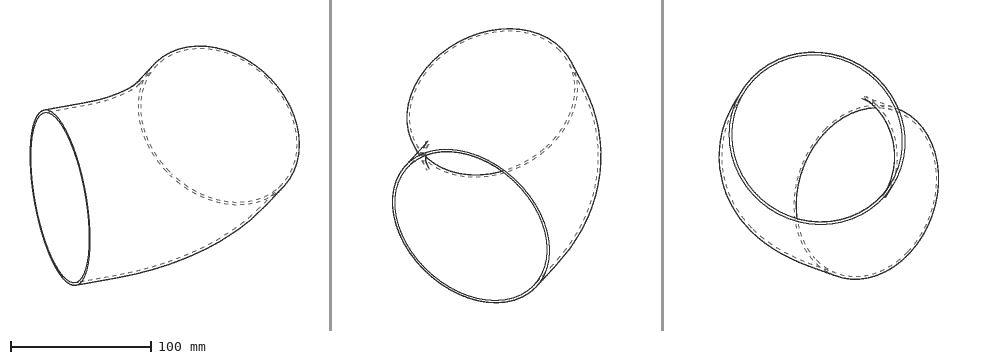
import cadquery as cq

outer_diameter = 127.0
inner_diameter = 123.0
bend_radius = 127.0
bend_angle = 45.0
straight_length = 30.0


def pipe_section(plane):
    """Ring-shaped pipe cross-section centred on the given plane."""
    return cq.Workplane(plane).circle(outer_diameter / 2).circle(inner_diameter / 2)


def straight_collar(plane):
    """Straight pipe running from the plane along its normal."""
    return pipe_section(plane).extrude(straight_length)


def pipe_bend(plane):
    """Pipe bend that leaves the plane along +Y and curves towards -X."""
    axis_start = (-bend_radius, 0)
    axis_end = (-bend_radius, 1)
    return pipe_section(plane).revolve(bend_angle, axis_start, axis_end)


bend_start = cq.Plane(origin=(0, straight_length, 0), xDir=(1, 0, 0), normal=(0, -1, 0))
bend_axis_point = (-bend_radius, straight_length, 0)
bend_axis_top = (-bend_radius, straight_length, 1)

inlet_collar = straight_collar(bend_start)
bend = pipe_bend(bend_start)

outlet_start = cq.Plane(origin=(0, straight_length, 0), xDir=(1, 0, 0), normal=(0, 1, 0))
outlet_collar = straight_collar(outlet_start).rotate(bend_axis_point, bend_axis_top, bend_angle)

result = inlet_collar.union(bend).union(outlet_collar)